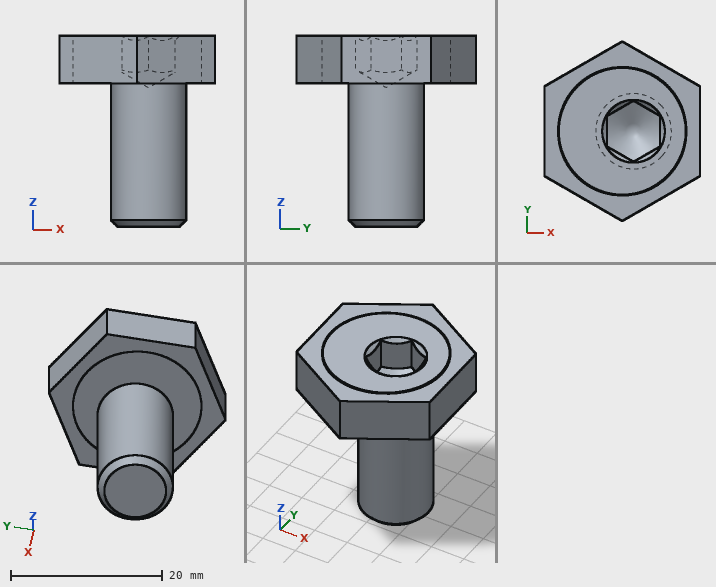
import cadquery as cq
import math

total_height = 25.3
head_height = 6.32
across_flats = 20.6

head_diameter = 17.0
head_edge_chamfer = 0.1

shank_diameter = 10.0
eccentricity = 1.5
tip_chamfer = 0.9

socket_across_flats = 7.0
socket_depth = 4.55
socket_floor_angle = 30.0
countersink_diameter = 8.3
countersink_angle = 45.0

corner_angle = 30.0
head_bottom = total_height - head_height


def hexagon_prism(flats, height, x, z):
    """Hexagonal prism with two corners on the Y direction."""
    corner_diameter = flats / math.cos(math.radians(corner_angle))
    return (
        cq.Workplane("XY")
        .polygon(6, corner_diameter)
        .extrude(height)
        .rotate((0, 0, 0), (0, 0, 1), corner_angle)
        .translate((x, 0, z))
    )


def downward_cone(diameter, slope_angle, z):
    """Cone on the shank axis, with its base at z and its point below."""
    radius = diameter / 2
    depth = radius * math.tan(math.radians(slope_angle))
    return (
        cq.Workplane("XZ")
        .polyline([(0, 0), (radius, 0), (0, -depth)])
        .close()
        .revolve(360, (0, 0), (0, 1))
        .translate((eccentricity, 0, z))
    )


def head_disc():
    """Plain disc that fills the bore of the ring."""
    return cq.Workplane("XY").workplane(offset=head_bottom).circle(head_diameter / 2).extrude(head_height)


def make_hex_ring():
    """Hexagonal ring with a plain round bore."""
    blank = hexagon_prism(across_flats, head_height, 0, head_bottom)
    return blank.cut(head_disc())


def make_shank():
    """Round shank with a tapered tip, reaching up to the head."""
    radius = shank_diameter / 2
    return (
        cq.Workplane("XZ")
        .polyline([
            (0, 0),
            (radius - tip_chamfer, 0),
            (radius, tip_chamfer),
            (radius, head_bottom),
            (0, head_bottom),
        ])
        .close()
        .revolve(360, (0, 0), (0, 1))
        .translate((eccentricity, 0, 0))
    )


def make_socket():
    """Volume of the drive socket: hexagon, conical floor and countersink."""
    socket_floor = total_height - socket_depth
    corner_diameter = socket_across_flats / math.cos(math.radians(corner_angle))
    hexagon = hexagon_prism(socket_across_flats, socket_depth, eccentricity, socket_floor)
    floor_cone = downward_cone(corner_diameter, socket_floor_angle, socket_floor)
    floor_limit = hexagon_prism(socket_across_flats, head_height, eccentricity, socket_floor - head_height)
    countersink = downward_cone(countersink_diameter, countersink_angle, total_height)
    return hexagon.union(floor_cone.intersect(floor_limit)).union(countersink)


def make_eccentric_bolt():
    """Round-headed bolt whose shank and socket sit off the head centre."""
    head = head_disc().faces(">Z").edges().chamfer(head_edge_chamfer)
    return head.union(make_shank()).cut(make_socket())


hex_ring = make_hex_ring()
eccentric_bolt = make_eccentric_bolt()

result = cq.Compound.makeCompound([hex_ring.val(), eccentric_bolt.val()])